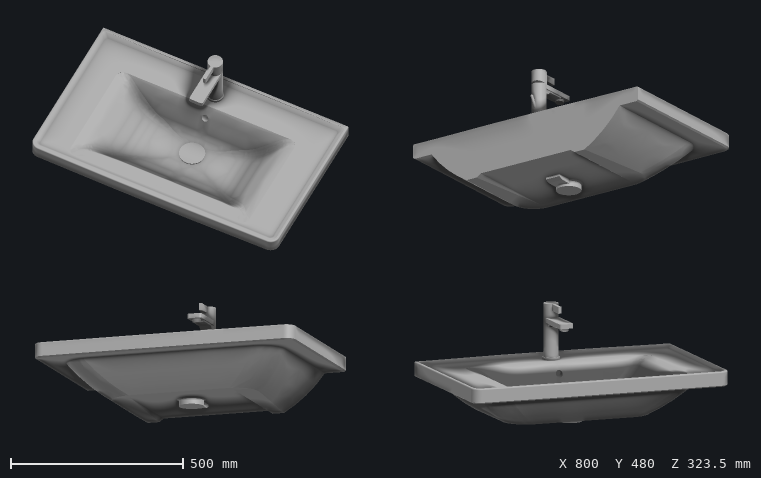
import cadquery as cq

SLAB_WIDTH = 800.0
SLAB_DEPTH = 480.0
SLAB_HEIGHT = 46.0
FRONT_BOW = 3.0
SLAB_CORNER_RADIUS = 28.0
RIM_ROUND = 4.0
UNDER_CHAMFER_IN = 4.0
UNDER_CHAMFER_UP = 6.0

RIDGE_HEIGHT = 2.5
RIDGE_START = 2.0
RIDGE_THICKNESS = 9.0

DECK_Z = -7.0
RIM_WIDTH_SIDE = 7.0
RIM_WIDTH_FRONT = 10.0
RIM_WIDTH_REAR = 10.5
RIM_SLOPE = 14.5
DECK_CORNER_RADIUS = 8.0

BOWL_HALF_WIDTH = 290.5
BOWL_REAR = -112.0
BOWL_FRONT = -446.5
BOWL_SIDE_PROFILE = [
    (314.5, -2.5),
    (BOWL_HALF_WIDTH, DECK_Z),
    (267.0, -14.0),
    (237.0, -37.0),
    (178.0, -87.0),
    (130.0, -103.0),
    (58.0, -112.0),
    (0.0, -114.0),
]
BOWL_DEPTH_PROFILE = [
    (-100.0, 0.0),
    (BOWL_REAR, DECK_Z),
    (-118.5, -14.0),
    (-133.0, -37.0),
    (-152.0, -87.0),
    (-165.0, -103.0),
    (-184.0, -112.0),
    (-218.0, -114.0),
    (-261.0, -112.0),
    (-306.5, -103.0),
    (-341.0, -87.0),
    (-387.0, -37.0),
    (-414.5, -14.0),
    (BOWL_FRONT, DECK_Z),
    (-470.5, -2.5),
]
BOWL_OUTLINE_RADIUS = 24.0
BOWL_FRONT_CORNER_RADIUS = 32.0
BOWL_REAR_CORNER_RADIUS = 24.0

OVERFLOW_DIAMETER = 21.0
OVERFLOW_Z = -40.0
OVERFLOW_START = -152.0
OVERFLOW_LENGTH = 36.0

SKIRT_SECTIONS = [
    (-SLAB_HEIGHT, 334.5, -423.0, 72.0),
    (-97.0, 289.0, -379.0, 72.0),
    (-154.5, 210.0, -322.0, 72.0),
]
SKIRT_FLOOR_Z = -145.0
FOOT_FRONT = -304.0
FOOT_INNER_TOP = 160.0
FOOT_INNER_BOTTOM = 174.5

DRAIN_Y = -218.0
OUTLET_RADIUS = 37.0
OUTLET_BOTTOM = -165.0
OUTLET_FLARE = 6.5
COVER_RADIUS = 38.5
COVER_TOP = -110.0
COVER_THICKNESS = 6.5

DUCT_WIDTH = 48.0
DUCT_REAR = -136.0
DUCT_KNEE = -152.0
DUCT_BOTTOM = -158.0

TAP_Y = -68.0
TAP_RADIUS = 22.5
TAP_BASE_RADIUS = 26.0
TAP_BASE_HEIGHT = 7.0
TAP_BODY_TOP = 117.0
TAP_TOP = 158.5
SPOUT_END = -195.0
SPOUT_WIDTH = 43.0
SPOUT_THICKNESS = 14.0
SPOUT_CORNER_RADIUS = 6.5
BELLY_WIDTH = 35.0
BELLY_END = -154.0
BELLY_DEPTH = 4.0
BRACE_DROP = 8.0
AERATOR_Y = -173.0
AERATOR_RADIUS = 13.0
AERATOR_LENGTH = 9.0
AERATOR_TILT = 10.0
HANDLE_BEVEL = 7.0
LEVER_END = -139.0
LEVER_WIDTH = 10.0
LEVER_HEIGHT = 20.0
ROD_RADIUS = 4.0
ROD_FOOT = (-50.0, 38.5)
ROD_TIP = (-32.0, 71.0)


def rounded_section(z, half_width, rear, front, front_radius, rear_radius=0.0):
    """Rectangular wire at height z whose front and rear corners are rounded."""
    blank = cq.Workplane("XY").box(2 * half_width, rear - front, 8.0, centered=(True, False, False))
    blank = blank.translate((0, front, z)).edges("|Z and <Y").fillet(front_radius)
    if rear_radius > 0:
        blank = blank.edges("|Z and >Y").fillet(rear_radius)
    return blank.faces("<Z").wires().val()


def y_z_prism(points, width):
    """Prism centred on X = 0 from an outline of (y, z) points."""
    return cq.Workplane("YZ").polyline(points).close().extrude(width / 2, both=True)


def vertical_cylinder(y, radius, bottom, top):
    return cq.Workplane("XY", origin=(0, y, bottom)).circle(radius).extrude(top - bottom)


def make_slab():
    half_width = SLAB_WIDTH / 2
    front_end = -SLAB_DEPTH + FRONT_BOW
    slab = (
        cq.Workplane("XY", origin=(0, 0, -SLAB_HEIGHT))
        .moveTo(-half_width, 0)
        .lineTo(-half_width, front_end)
        .threePointArc((0, -SLAB_DEPTH), (half_width, front_end))
        .lineTo(half_width, 0)
        .close()
        .extrude(SLAB_HEIGHT)
    )
    slab = slab.edges("|Z").edges("<Y").fillet(SLAB_CORNER_RADIUS)
    slab = slab.faces("<Z").edges("not(>Y)").chamfer(UNDER_CHAMFER_UP, UNDER_CHAMFER_IN)
    return slab.faces(">Z").edges("not(>Y)").fillet(RIM_ROUND)


def make_ridge():
    half_width = SLAB_WIDTH / 2 - RIM_WIDTH_SIDE
    return (
        cq.Workplane("XZ", origin=(0, -RIDGE_START, 0))
        .moveTo(-half_width, DECK_Z)
        .lineTo(-half_width, 0)
        .threePointArc((0, RIDGE_HEIGHT), (half_width, 0))
        .lineTo(half_width, DECK_Z)
        .close()
        .extrude(RIDGE_THICKNESS)
    )


def make_deck_cut():
    """Shallow recess that leaves the rim standing and slopes down to the deck."""
    half_width = SLAB_WIDTH / 2 - RIM_WIDTH_SIDE
    rear = -RIM_WIDTH_REAR
    front = -SLAB_DEPTH + RIM_WIDTH_FRONT
    upper_radius = DECK_CORNER_RADIUS + RIM_SLOPE
    upper = rounded_section(0, half_width, rear, front, upper_radius, DECK_CORNER_RADIUS)
    lower = rounded_section(
        DECK_Z,
        half_width - RIM_SLOPE,
        rear - RIM_SLOPE,
        front + RIM_SLOPE,
        DECK_CORNER_RADIUS,
        DECK_CORNER_RADIUS,
    )
    return cq.Workplane(cq.Solid.makeLoft([upper, lower], True))


def bowl_creases(bowl, front, rear):
    """The left and right creases between the troughs whose middles lie between two Y values."""
    creases = []
    for edge in bowl.edges().vals():
        middle = edge.Center()
        below_deck = middle.z < DECK_Z - BOWL_FRONT_CORNER_RADIUS
        off_centre = abs(middle.x) > COVER_RADIUS
        if below_deck and off_centre and front < middle.y < rear:
            creases.append(edge)
    return creases


def make_bowl_cut():
    """Bowl with rounded corners, trimmed to its outline in the deck."""
    mirrored_side = [(-x, z) for x, z in reversed(BOWL_SIDE_PROFILE[:-1])]
    trough_along_y = (
        cq.Workplane("XZ")
        .spline(BOWL_SIDE_PROFILE + mirrored_side)
        .close()
        .extrude(SLAB_DEPTH)
    )
    trough_along_x = (
        cq.Workplane("YZ")
        .spline(BOWL_DEPTH_PROFILE)
        .close()
        .extrude(SLAB_WIDTH / 2, both=True)
    )
    bowl = trough_along_y.intersect(trough_along_x)
    front_creases = bowl_creases(bowl, -SLAB_DEPTH, DRAIN_Y)
    bowl = bowl.newObject(front_creases).fillet(BOWL_FRONT_CORNER_RADIUS)
    rear_creases = bowl_creases(bowl, DRAIN_Y, 0)
    bowl = bowl.newObject(rear_creases).fillet(BOWL_REAR_CORNER_RADIUS)

    outline = (
        cq.Workplane("XY", origin=(0, (BOWL_REAR + BOWL_FRONT) / 2, DECK_Z))
        .rect(2 * BOWL_HALF_WIDTH, BOWL_REAR - BOWL_FRONT)
        .extrude(-SLAB_DEPTH)
        .edges("|Z")
        .fillet(BOWL_OUTLINE_RADIUS)
    )
    return bowl.intersect(outline)


def make_overflow_cut():
    plane = cq.Plane((0, OVERFLOW_START, OVERFLOW_Z), (1, 0, 0), (0, 1, 0))
    return cq.Workplane(plane).circle(OVERFLOW_DIAMETER / 2).extrude(OVERFLOW_LENGTH)


def make_skirt():
    """Tapering skirt with a foot along each side, the feet deepening towards the rear."""
    wires = [
        rounded_section(z, half_width, 0, front, radius)
        for z, half_width, front, radius in SKIRT_SECTIONS
    ]
    skirt = cq.Workplane(cq.Solid.makeLoft(wires, False))

    foot_bottom = SKIRT_SECTIONS[-1][0]
    below = foot_bottom - 8.0
    slope_cut = y_z_prism(
        [
            (0, foot_bottom),
            (FOOT_FRONT, SKIRT_FLOOR_Z),
            (-SLAB_DEPTH, SKIRT_FLOOR_Z),
            (-SLAB_DEPTH, below),
            (0, below),
        ],
        SLAB_WIDTH,
    )
    gap_cut = (
        cq.Workplane("XZ")
        .polyline(
            [
                (-FOOT_INNER_TOP, SKIRT_FLOOR_Z),
                (FOOT_INNER_TOP, SKIRT_FLOOR_Z),
                (FOOT_INNER_BOTTOM, foot_bottom),
                (-FOOT_INNER_BOTTOM, foot_bottom),
            ]
        )
        .close()
        .extrude(SLAB_DEPTH)
    )
    return skirt.cut(slope_cut).cut(gap_cut)


def make_outlet():
    outlet = vertical_cylinder(DRAIN_Y, OUTLET_RADIUS, OUTLET_BOTTOM, SKIRT_FLOOR_Z)
    flare = cq.Workplane(
        cq.Solid.makeCone(
            OUTLET_RADIUS,
            OUTLET_RADIUS + OUTLET_FLARE,
            OUTLET_FLARE / 2,
            cq.Vector(0, DRAIN_Y, SKIRT_FLOOR_Z - OUTLET_FLARE / 2),
        )
    )
    duct = y_z_prism(
        [
            (DUCT_REAR, SKIRT_FLOOR_Z),
            (DUCT_REAR, SKIRT_FLOOR_Z - OUTLET_FLARE),
            (DUCT_KNEE, DUCT_BOTTOM),
            (DRAIN_Y, DUCT_BOTTOM),
            (DRAIN_Y, SKIRT_FLOOR_Z),
        ],
        DUCT_WIDTH,
    )
    return outlet.union(flare).union(duct)


def make_basin(cover):
    basin = make_slab().cut(make_deck_cut()).union(make_ridge())
    basin = basin.union(make_skirt()).union(make_outlet())
    basin = basin.cut(make_bowl_cut()).cut(make_overflow_cut())
    return basin.cut(cover)


def make_cover():
    return vertical_cylinder(DRAIN_Y, COVER_RADIUS, COVER_TOP - COVER_THICKNESS, COVER_TOP)


def make_spout():
    length = TAP_Y - SPOUT_END
    under_spout = TAP_BODY_TOP - SPOUT_THICKNESS
    under_belly = under_spout - BELLY_DEPTH
    spout = (
        cq.Workplane("XY", origin=(0, SPOUT_END, under_spout))
        .rect(SPOUT_WIDTH, length, centered=(True, False))
        .extrude(SPOUT_THICKNESS)
    )
    spout = spout.edges("|Z").edges("<Y").fillet(SPOUT_CORNER_RADIUS)
    body_front = TAP_Y - TAP_RADIUS
    belly = y_z_prism(
        [
            (TAP_Y, under_spout),
            (BELLY_END, under_spout),
            (BELLY_END, under_belly),
            (body_front - BRACE_DROP, under_belly),
            (body_front, under_belly - BRACE_DROP),
            (TAP_Y, under_belly - BRACE_DROP),
        ],
        BELLY_WIDTH,
    )
    return spout.union(belly)


def make_aerator():
    root = AERATOR_LENGTH
    aerator = cq.Workplane("XY").circle(AERATOR_RADIUS).extrude(-AERATOR_LENGTH - root)
    aerator = aerator.translate((0, 0, root)).rotate((0, 0, 0), (1, 0, 0), AERATOR_TILT)
    return aerator.translate((0, AERATOR_Y, TAP_BODY_TOP - SPOUT_THICKNESS))


def make_rod():
    """Pop-up rod leaning out of the rear of the tap body."""
    foot = cq.Vector(0, *ROD_FOOT)
    tip = cq.Vector(0, *ROD_TIP)
    axis = tip - foot
    rod = cq.Workplane(cq.Solid.makeCylinder(ROD_RADIUS, axis.Length, foot, axis))
    return rod.union(cq.Workplane("XY").sphere(ROD_RADIUS).translate(tip.toTuple()))


def make_tap_body():
    base = vertical_cylinder(TAP_Y, TAP_BASE_RADIUS, DECK_Z, DECK_Z + TAP_BASE_HEIGHT)
    column = vertical_cylinder(TAP_Y, TAP_RADIUS, DECK_Z, TAP_BODY_TOP)
    return base.union(column).union(make_spout()).union(make_aerator()).union(make_rod())


def make_handle():
    head = vertical_cylinder(TAP_Y, TAP_RADIUS, TAP_BODY_TOP, TAP_TOP)
    rear = TAP_Y + TAP_RADIUS
    bevel = y_z_prism(
        [(TAP_Y, TAP_BODY_TOP), (rear, TAP_BODY_TOP), (rear, TAP_BODY_TOP + HANDLE_BEVEL)],
        2 * TAP_RADIUS,
    )
    lever_bottom = TAP_TOP - LEVER_HEIGHT
    lever = y_z_prism(
        [(TAP_Y, lever_bottom), (LEVER_END, lever_bottom), (LEVER_END, TAP_TOP), (TAP_Y, TAP_TOP)],
        LEVER_WIDTH,
    )
    return head.cut(bevel).union(lever)


drain_cover = make_cover()
basin = make_basin(drain_cover)
tap_body = make_tap_body()
handle = make_handle()

result = cq.Compound.makeCompound([basin.val(), drain_cover.val(), tap_body.val(), handle.val()])